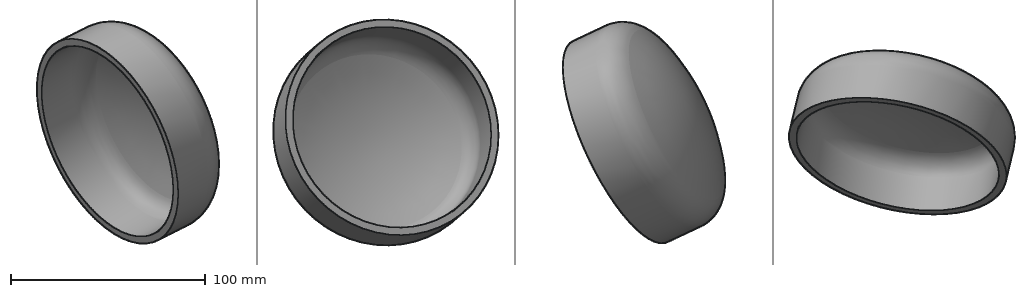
import cadquery as cq
import math

outer_diameter = 114.3
inner_diameter = 106.3
skirt_height = 20.0
inner_crown_radius = outer_diameter
inner_knuckle_radius = outer_diameter / 10

wall = (outer_diameter - inner_diameter) / 2
knuckle_center_x = inner_diameter / 2 - inner_knuckle_radius

center_offset = math.sqrt((inner_crown_radius - inner_knuckle_radius) ** 2 - knuckle_center_x**2)
crown_center_y = skirt_height - center_offset

tangent_angle = math.atan2(knuckle_center_x, center_offset)
knuckle_mid_angle = (tangent_angle + math.pi / 2) / 2


def crown_point(offset, angle):
    """Point on the crown arc, `offset` outside the inner surface."""
    radius = inner_crown_radius + offset
    return (radius * math.sin(angle), crown_center_y + radius * math.cos(angle))


def knuckle_point(offset, angle):
    """Point on the knuckle arc, `offset` outside the inner surface."""
    radius = inner_knuckle_radius + offset
    return (knuckle_center_x + radius * math.sin(angle), skirt_height + radius * math.cos(angle))


half_section = (
    cq.Workplane("XY")
    .moveTo(inner_diameter / 2, 0)
    .lineTo(outer_diameter / 2, 0)
    .lineTo(outer_diameter / 2, skirt_height)
    .threePointArc(knuckle_point(wall, knuckle_mid_angle), knuckle_point(wall, tangent_angle))
    .threePointArc(crown_point(wall, tangent_angle / 2), crown_point(wall, 0))
    .lineTo(*crown_point(0, 0))
    .threePointArc(crown_point(0, tangent_angle / 2), crown_point(0, tangent_angle))
    .threePointArc(knuckle_point(0, knuckle_mid_angle), knuckle_point(0, math.pi / 2))
    .close()
)

result = half_section.revolve(360, (0, 0, 0), (0, 1, 0))